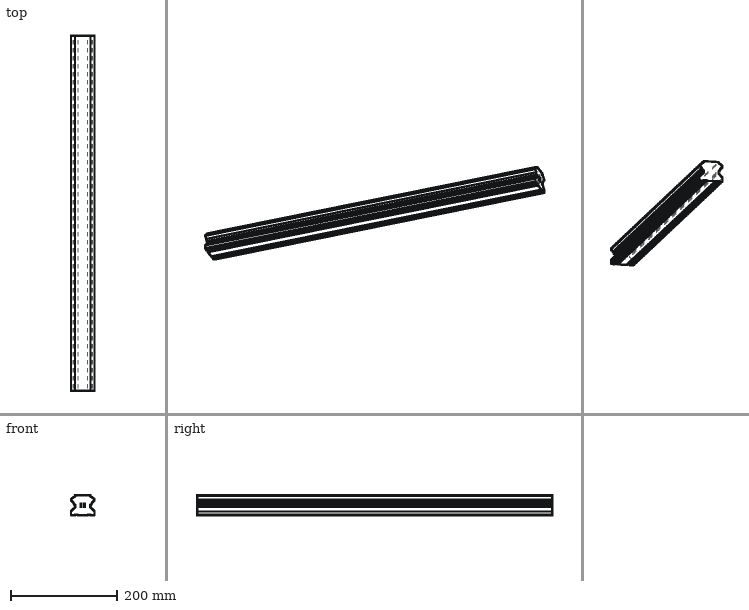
import cadquery as cq

RAIL_LENGTH = 670.0
RAIL_WIDTH = 45.0
RAIL_HEIGHT = 38.0
HALF_WIDTH = RAIL_WIDTH / 2

TOP_HALF_WIDTH = 14.4
TOP_LAND_BOTTOM = 36.1
SHOULDER_HALF_WIDTH = 19.3
SHOULDER_HEIGHT = 32.9
TIP_TOP = 29.7
TIP_BOTTOM = 28.4

UNDERCUT_HALF_WIDTH = 18.1
UNDERCUT_HEIGHT = 24.1
RELIEF_HALF_WIDTH = 16.1
RELIEF_HEIGHT = 20.0

WAIST_HALF_WIDTH = 14.5
WAIST_TOP = 19.5
WAIST_BOTTOM = 15.5

FOOT_TOP = WAIST_BOTTOM - (HALF_WIDTH - WAIST_HALF_WIDTH)
FOOT_CHAMFER = 1.5
GROOVE_INNER = 9.0
GROOVE_OUTER = 15.0
GROOVE_DEPTH = 1.0

END_SLOT_WIDTH = 2.0
END_SLOT_HEIGHT = 6.5
END_SLOT_SPACING = 7.0
END_SLOT_DEPTH = 1.0
END_SLOT_CENTER_HEIGHT = RAIL_HEIGHT / 2


def rail_body():
    """Extrude the +X half of the section along Y and mirror it across the YZ plane."""
    outline = [
        (0, 0),
        (GROOVE_INNER, 0),
        (GROOVE_INNER, GROOVE_DEPTH),
        (GROOVE_OUTER, GROOVE_DEPTH),
        (GROOVE_OUTER, 0),
        (HALF_WIDTH - FOOT_CHAMFER, 0),
        (HALF_WIDTH, FOOT_CHAMFER),
        (HALF_WIDTH, FOOT_TOP),
        (WAIST_HALF_WIDTH, WAIST_BOTTOM),
        (WAIST_HALF_WIDTH, WAIST_TOP),
        (RELIEF_HALF_WIDTH, RELIEF_HEIGHT),
        (UNDERCUT_HALF_WIDTH, UNDERCUT_HEIGHT),
        (HALF_WIDTH, TIP_BOTTOM),
        (HALF_WIDTH, TIP_TOP),
        (SHOULDER_HALF_WIDTH, SHOULDER_HEIGHT),
        (TOP_HALF_WIDTH, TOP_LAND_BOTTOM),
        (TOP_HALF_WIDTH, RAIL_HEIGHT),
        (0, RAIL_HEIGHT),
    ]
    half = cq.Workplane("XZ").polyline(outline).close().extrude(-RAIL_LENGTH)
    return half.union(half.mirror("YZ")).clean()


def end_slots():
    """Two shallow slots side by side, sunk along +Y from the front end."""
    centers = [(side * END_SLOT_SPACING / 2, END_SLOT_CENTER_HEIGHT) for side in (-1, 1)]
    slots = cq.Workplane("XZ").pushPoints(centers).rect(END_SLOT_WIDTH, END_SLOT_HEIGHT)
    return slots.extrude(-END_SLOT_DEPTH)


result = rail_body().cut(end_slots())